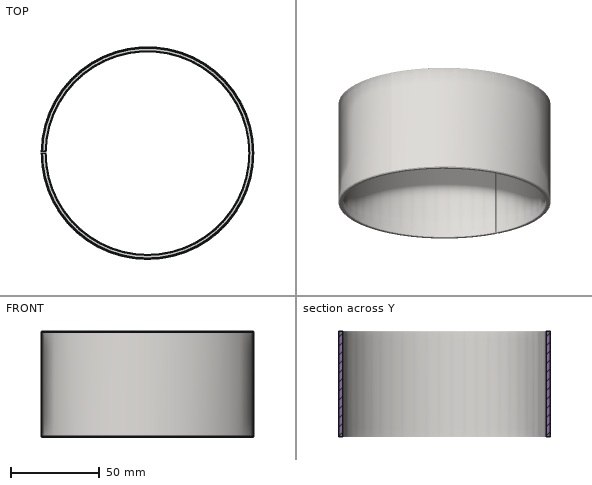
import cadquery as cq

outer_diameter = 120.0
height = outer_diameter / 2
wall = 2.5
outer_chamfer = 0.5
inner_chamfer = 0.25
slit_width = 1.0

outer_radius = outer_diameter / 2
inner_radius = outer_radius - wall


def make_sleeve():
    """Revolved wall section standing on Z = 0, chamfered inside and outside at both ends."""
    section = (
        cq.Workplane("XZ")
        .moveTo(inner_radius + inner_chamfer, 0)
        .lineTo(outer_radius - outer_chamfer, 0)
        .lineTo(outer_radius, outer_chamfer)
        .lineTo(outer_radius, height - outer_chamfer)
        .lineTo(outer_radius - outer_chamfer, height)
        .lineTo(inner_radius + inner_chamfer, height)
        .lineTo(inner_radius, height - inner_chamfer)
        .lineTo(inner_radius, inner_chamfer)
        .close()
    )
    return section.revolve(360, (0, 0, 0), (0, 1, 0))


def make_slit():
    """Full-height cutter through the -X wall, with one face on the XZ plane."""
    cutter = cq.Workplane("XY").box(outer_radius, slit_width, height, centered=False)
    return cutter.translate((-outer_radius, 0, 0))


result = make_sleeve().cut(make_slit())